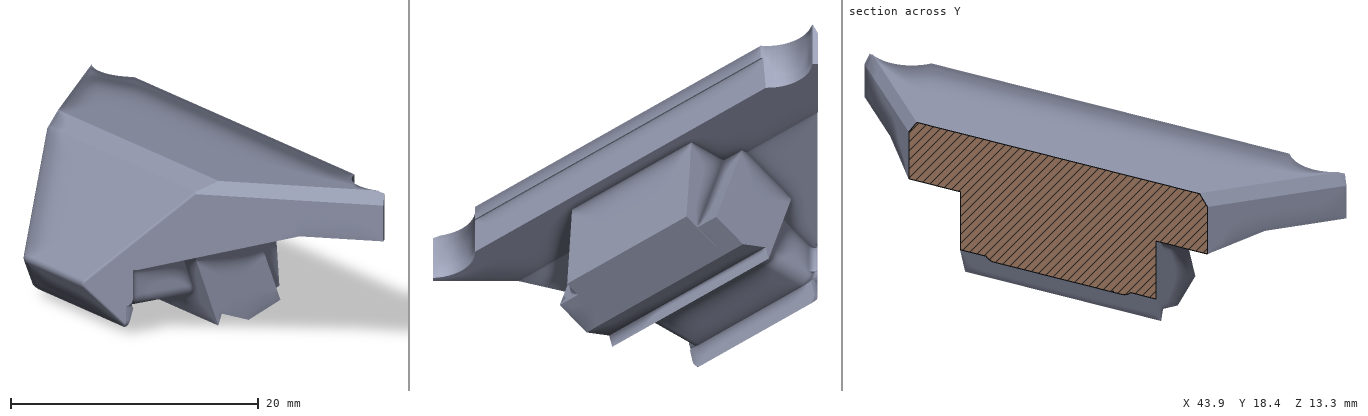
import cadquery as cq
import math


width = 43.86
depth = 18.41
height = 13.25

nose_half_width = 4.40
side_chamfer_drop = 1.08
side_chamfer_inset = 0.52

top_front_y = 8.23
brow_y = 6.62
brow_z = -0.90
nose_corner_y = -0.14
nose_z = -9.25
nose_radius = 0.50
hip_radius = 0.30
wing_bottom_z = -4.10
underside_slope = math.tan(math.radians(21.2))
underside_start_y = 12.65
back_step_z = -1.20
back_step_y = 18.27
back_bottom_y = 18.10

neck_half_width = 7.32
neck_y = neck_half_width - nose_half_width
lip_tip_y = 2.70
lip_tip_z = -12.80
lip_root_y = 3.22
lip_half_width = 6.93
lip_corner_radius = 0.70

flare_radius = 0.52
bar_half_width = neck_half_width - flare_radius
bar_bottom_z = -11.15
bar_bottom_radius = 1.00
bar_back_top_y = 16.82
bar_back_bottom_y = 17.38
bar_back_bottom_z = -11.62

peg_half_width = 8.92
peg_front_y = 7.50
peg_back_y = 13.15
peg_back_low_y = 16.10
peg_low_y = 13.03
tooth_tip_y = 10.11
tooth_root_y = 10.45
tooth_root_z = -12.30

notch_radius = 3.70
notch_x = 19.23
notch_y = 20.66

overlap = 0.5
tolerance = 0.3


def underside_z(y):
    """Height of the sloped underside at depth y."""
    return wing_bottom_z - (underside_start_y - y) * underside_slope


def extrude_side_profile(points, half_width):
    """Extrude a (Y, Z) outline symmetrically along X."""
    return cq.Workplane("YZ").polyline(points).close().extrude(half_width, both=True)


def bar_along_y(half_width, bottom_z, corner_radius):
    """Long bar along Y, up to the wing underside, with rounded lower edges."""
    bar = cq.Workplane("XY").box(
        2 * half_width, 2 * depth, wing_bottom_z - bottom_z, centered=(True, True, False)
    )
    return bar.translate((0, 0, bottom_z)).edges("|Y and <Z").fillet(corner_radius)


def fillet_front_edges(solid, z, max_y, radius):
    """Round the edges whose centres lie near height z and in front of max_y."""
    band = cq.selectors.BoxSelector((-width, -depth, z - tolerance), (width, max_y, z + tolerance))
    return solid.edges(band).fillet(radius)


def plan_envelope():
    """Trapezoid with 45 degree sides, chamfered along its top side edges."""
    front_y = -nose_half_width / 2
    rear_y = depth + nose_half_width
    front_half = nose_half_width + front_y
    rear_half = nose_half_width + rear_y
    outline = [
        (-front_half, front_y),
        (front_half, front_y),
        (rear_half, rear_y),
        (-rear_half, rear_y),
    ]
    lean = math.degrees(math.atan2(side_chamfer_inset, side_chamfer_drop))
    base = cq.Workplane("XY").workplane(offset=-side_chamfer_drop)
    lower = base.polyline(outline).close().extrude(-height)
    upper = base.polyline(outline).close().extrude(side_chamfer_drop, taper=lean)
    return lower.union(upper)


def make_hood():
    """Hood with its wings and lip, rounded along the nose and the slanted hips."""
    profile = extrude_side_profile(
        [
            (depth, 0),
            (top_front_y, 0),
            (brow_y, brow_z),
            (nose_corner_y, nose_z),
            (lip_tip_y, lip_tip_z),
            (lip_root_y, bar_bottom_z),
            (neck_y, bar_bottom_z + overlap),
            (neck_y, underside_z(neck_y)),
            (underside_start_y, wing_bottom_z),
            (back_bottom_y, wing_bottom_z),
            (back_step_y, back_step_z),
            (depth, back_step_z),
        ],
        width,
    )
    hood = profile.intersect(plan_envelope())
    hood = fillet_front_edges(hood, nose_z, nose_radius, nose_radius)
    upper_hip_z = (brow_z + nose_z) / 2
    return fillet_front_edges(hood, upper_hip_z, brow_y, hip_radius)


def trim_lip(hood):
    """Narrow the lip to the neck width, and further below the neck."""
    trim_height = underside_z(lip_root_y) + height
    trim = cq.Workplane("XY").box(width, 2 * lip_root_y, trim_height, centered=(True, True, False))
    trim = trim.translate((0, 0, -height))
    neck = bar_along_y(neck_half_width, bar_bottom_z, bar_bottom_radius)
    lip = bar_along_y(lip_half_width, lip_tip_z, lip_corner_radius)
    return hood.cut(trim.cut(neck).cut(lip))


def wing_end_envelope():
    """Triangular prism whose rear faces cut the wing ends square to the side walls."""
    end_x = width / 2
    end_y = end_x - nose_half_width
    apex_y = end_x + end_y
    outline = [(0, apex_y), (-2 * apex_y, -apex_y), (2 * apex_y, -apex_y)]
    return cq.Workplane("XY").polyline(outline).close().extrude(-height)


def make_corner_notches():
    """Upright cylinders that scallop the two rear corners."""
    centres = [(-notch_x, notch_y), (notch_x, notch_y)]
    return cq.Workplane("XY").pushPoints(centres).circle(notch_radius).extrude(-height)


def make_bar():
    """Central bar behind the lip, with rounded lower edges."""
    front_y = neck_y - overlap / 2
    bar = extrude_side_profile(
        [
            (front_y, bar_bottom_z),
            (front_y, underside_z(front_y) + overlap),
            (underside_start_y, wing_bottom_z + overlap),
            (bar_back_top_y, wing_bottom_z + overlap),
            (bar_back_top_y, wing_bottom_z),
            (bar_back_bottom_y, bar_back_bottom_z),
            (peg_low_y, -height),
            (peg_low_y, bar_bottom_z),
        ],
        bar_half_width,
    )
    bottom_band = cq.selectors.BoxSelector(
        (-width, front_y, bar_bottom_z - tolerance),
        (width, peg_low_y, bar_bottom_z + tolerance),
    )
    return bar.edges("|Y").edges(bottom_band).fillet(bar_bottom_radius)


def make_flare(side):
    """Concave upright corner that blends one side of the bar into the lip."""
    bottom_z = bar_bottom_z + bar_bottom_radius
    rear_y = neck_y + flare_radius
    top_z = underside_z(rear_y)
    sag = flare_radius * math.sqrt(0.5)
    arc_middle = (side * (neck_half_width - sag), rear_y - sag)
    return (
        cq.Workplane("XY", origin=(0, 0, bottom_z))
        .moveTo(side * (bar_half_width - overlap), rear_y)
        .lineTo(side * bar_half_width, rear_y)
        .threePointArc(arc_middle, (side * neck_half_width, neck_y))
        .lineTo(side * (bar_half_width - overlap), neck_y - overlap)
        .close()
        .extrude(top_z - bottom_z)
    )


def make_peg():
    """Peg whose front and back faces stand square to the sloped underside."""
    return extrude_side_profile(
        [
            (peg_front_y, underside_z(peg_front_y)),
            (peg_front_y, underside_z(peg_front_y) + overlap),
            (underside_start_y, wing_bottom_z + overlap),
            (peg_back_y, wing_bottom_z + overlap),
            (peg_back_y, wing_bottom_z),
            (peg_back_low_y, -height + (peg_back_low_y - peg_low_y) * underside_slope),
            (peg_low_y, -height),
            (tooth_root_y, tooth_root_z),
            (tooth_tip_y, -height),
        ],
        peg_half_width,
    )


hood = trim_lip(make_hood())
hood = hood.intersect(wing_end_envelope()).cut(make_corner_notches())
result = hood.union(make_bar()).union(make_peg())
for side in (-1, 1):
    result = result.union(make_flare(side))